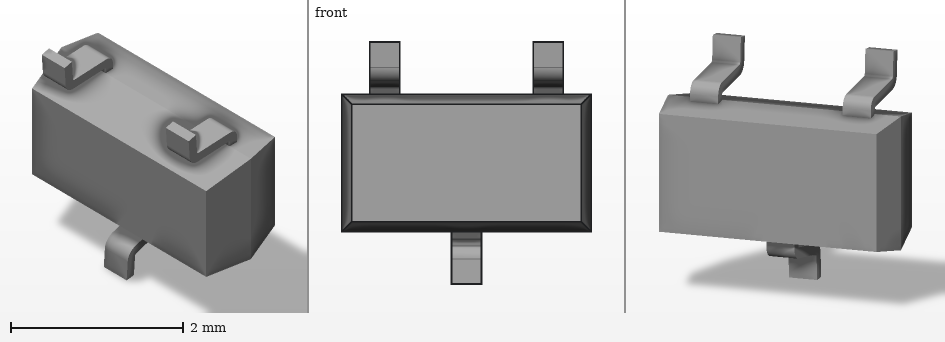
import cadquery as cq
import math

body_length = 2.9
body_height = 1.6
back_depth = 0.54
front_depth = 0.66
draft_angle = 10.0

lead_width = 0.35
lead_thickness = 0.13
lead_pitch = 1.9
lead_embed = 0.3
stub_length = 0.073
arm_length = 0.569
foot_length = 0.292
first_bend_radius = 0.01
second_bend_radius = 0.03
arm_tilt = 8.0
foot_tilt = 4.0


def move(point, angle, distance):
    """Point reached from a (Y, Z) point; angle is in degrees from -Y toward +Z."""
    y, z = point
    turn = math.radians(angle)
    return (y - distance * math.cos(turn), z + distance * math.sin(turn))


def make_half_body(depth, direction):
    """One drafted half, growing from the parting plane along Y (direction +1 or -1)."""
    half = (
        cq.Workplane("XZ")
        .rect(body_length, body_height)
        .extrude(depth, taper=draft_angle)
    )
    return half if direction < 0 else half.mirror("XZ")


def make_lead(x_center):
    """Lead leaving the +Z wall, bending toward -Y and then back up into the foot."""
    stub_angle = 90.0
    arm_angle = arm_tilt
    foot_angle = 90.0 - foot_tilt
    first_outer_radius = first_bend_radius + lead_thickness
    second_outer_radius = second_bend_radius + lead_thickness

    front_root = (0.0, body_height / 2 - lead_embed)
    back_root = (lead_thickness, front_root[1])
    stub_run = lead_embed + stub_length
    front_stub_end = move(front_root, stub_angle, stub_run)
    back_stub_end = move(back_root, stub_angle, stub_run)

    first_center = move(front_stub_end, 0.0, first_bend_radius)
    first_exit = arm_angle + 90.0
    first_middle = (180.0 + first_exit) / 2
    lower_arm_start = move(first_center, first_exit, first_bend_radius)
    upper_arm_start = move(first_center, first_exit, first_outer_radius)
    lower_arm_end = move(lower_arm_start, arm_angle, arm_length)
    upper_arm_end = move(upper_arm_start, arm_angle, arm_length)

    second_center = move(upper_arm_end, arm_angle + 90.0, second_bend_radius)
    second_exit = foot_angle - 90.0
    second_middle = (arm_angle - 90.0 + second_exit) / 2
    back_foot_start = move(second_center, second_exit, second_bend_radius)
    front_foot_start = move(second_center, second_exit, second_outer_radius)
    back_foot_tip = move(back_foot_start, foot_angle, foot_length)
    front_foot_tip = move(front_foot_start, foot_angle, foot_length)

    return (
        cq.Workplane("YZ", origin=(x_center, 0, 0))
        .moveTo(*back_root)
        .lineTo(*back_stub_end)
        .threePointArc(move(first_center, first_middle, first_outer_radius), upper_arm_start)
        .lineTo(*upper_arm_end)
        .threePointArc(move(second_center, second_middle, second_bend_radius), back_foot_start)
        .lineTo(*back_foot_tip)
        .lineTo(*front_foot_tip)
        .lineTo(*front_foot_start)
        .threePointArc(move(second_center, second_middle, second_outer_radius), lower_arm_end)
        .lineTo(*lower_arm_start)
        .threePointArc(move(first_center, first_middle, first_bend_radius), front_stub_end)
        .lineTo(*front_root)
        .close()
        .extrude(lead_width / 2, both=True)
    )


body = make_half_body(back_depth, 1).union(make_half_body(front_depth, -1))

result = body
for lead_x in (-lead_pitch / 2, lead_pitch / 2):
    result = result.union(make_lead(lead_x))
result = result.union(make_lead(0.0).mirror("XY"))